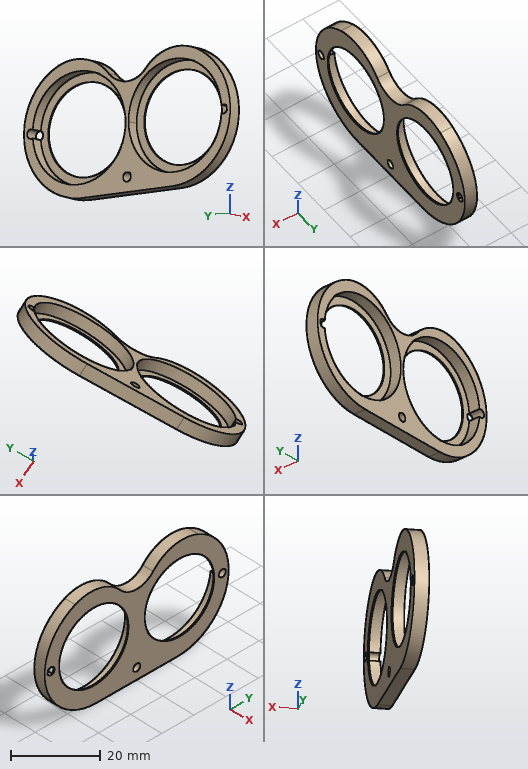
import cadquery as cq
import math

length = 57.3
height = 31.75
thickness = 3.4

side_radius = 16.05
shoulder_radius = 12.05
notch_bottom_z = 9.15

opening_spacing = 26.65
opening_diameter = 21.6
recess_diameter = 25.8
recess_depth = 3.05

pin_diameter = 2.2
side_pin_y = 26.65
lower_pin_z = -12.6

side_y = length / 2 - side_radius
bottom_z = -side_radius
top_z = bottom_z + height

shoulder_z = top_z - shoulder_radius
center_distance = side_radius - shoulder_radius
shoulder_y = side_y + math.sqrt(center_distance**2 - shoulder_z**2)

notch_rise = notch_bottom_z - shoulder_z
notch_radius = (shoulder_y**2 + notch_rise**2 - shoulder_radius**2) / (2 * (shoulder_radius - notch_rise))
notch_z = notch_bottom_z + notch_radius

join_y = side_y + side_radius * (shoulder_y - side_y) / center_distance
join_z = side_radius * shoulder_z / center_distance
notch_share = notch_radius / (notch_radius + shoulder_radius)
notch_end_y = shoulder_y * notch_share
notch_end_z = notch_z + (shoulder_z - notch_z) * notch_share


def make_plate():
    """Plate with two round lobes, a notch between them and a flat bottom."""
    return (
        cq.Workplane("YZ")
        .moveTo(-side_y, bottom_z)
        .lineTo(side_y, bottom_z)
        .threePointArc((length / 2, 0), (join_y, join_z))
        .threePointArc((shoulder_y, top_z), (notch_end_y, notch_end_z))
        .threePointArc((0, notch_bottom_z), (-notch_end_y, notch_end_z))
        .threePointArc((-shoulder_y, top_z), (-join_y, join_z))
        .threePointArc((-length / 2, 0), (-side_y, bottom_z))
        .close()
        .extrude(thickness)
    )


def make_cylinders(centers, diameter, depth):
    """Cylinders running from the -X face into the plate."""
    return cq.Workplane("YZ").pushPoints(centers).circle(diameter / 2).extrude(depth)


opening_centers = [(-opening_spacing / 2, 0), (opening_spacing / 2, 0)]
pin_centers = [(-side_pin_y, 0), (side_pin_y, 0), (0, lower_pin_z)]

result = (
    make_plate()
    .cut(make_cylinders(opening_centers, opening_diameter, thickness))
    .cut(make_cylinders(opening_centers, recess_diameter, recess_depth))
    .cut(make_cylinders(pin_centers, pin_diameter, thickness))
)